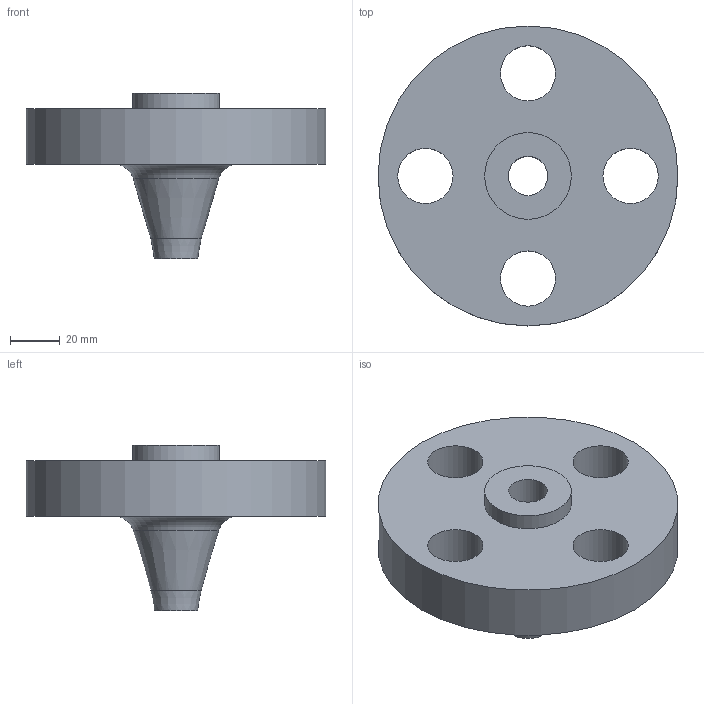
import cadquery as cq
import math

flange_diameter = 120.65
flange_thickness = 22.225

face_diameter = 34.9
face_height = 6.35

bore_diameter = 15.8
bolt_hole_diameter = 22.225
bolt_circle_diameter = 82.55
bolt_count = 4

neck_length = 38.1
tip_height = 8.2
tip_end_radius = 8.7
tip_angle = 10.0
neck_angle = 16.4
neck_fillet = 8.0
tip_fillet = 3.0

tip_top_radius = tip_end_radius + tip_height * math.tan(math.radians(tip_angle))
tip_top_z = tip_height - neck_length
neck_root_radius = tip_top_radius - tip_top_z * math.tan(math.radians(neck_angle))


def revolved_body():
    """Disc, raised face and neck as one turned solid about Z."""
    face_z = flange_thickness + face_height
    outline = [
        (0, -neck_length),
        (tip_end_radius, -neck_length),
        (tip_top_radius, tip_top_z),
        (neck_root_radius, 0),
        (flange_diameter / 2, 0),
        (flange_diameter / 2, flange_thickness),
        (face_diameter / 2, flange_thickness),
        (face_diameter / 2, face_z),
        (0, face_z),
    ]
    profile = cq.Workplane("XZ").polyline(outline).close()
    return profile.revolve(360, (0, 0, 0), (0, 1, 0))


def circle_at(radius, z):
    """Selector for the circular edge of the given radius at height z."""
    margin = 0.1
    reach = radius + margin
    return cq.selectors.BoxSelector(
        (-reach, -reach, z - margin), (reach, reach, z + margin), boundingbox=True
    )


def round_neck(body):
    """Blend the neck into the disc and soften the change of taper at the tip."""
    body = body.edges(circle_at(neck_root_radius, 0)).fillet(neck_fillet)
    return body.edges(circle_at(tip_top_radius, tip_top_z)).fillet(tip_fillet)


def cut_holes(body):
    """Drill the central bore and the ring of bolt holes through the part."""
    face = body.faces(">Z").workplane(origin=(0, 0, 0))
    bored = face.circle(bore_diameter / 2).cutThruAll()
    bolt_plane = bored.faces(">Z").workplane(origin=(0, 0, 0))
    bolt_centres = bolt_plane.polarArray(bolt_circle_diameter / 2, 0, 360, bolt_count)
    return bolt_centres.circle(bolt_hole_diameter / 2).cutThruAll()


result = cut_holes(round_neck(revolved_body()))